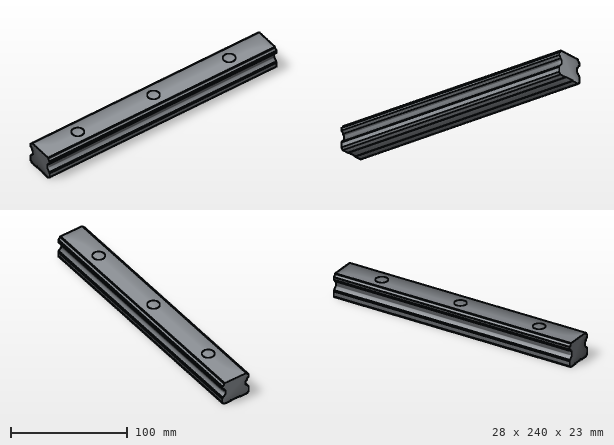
import cadquery as cq

length = 240.0
width = 28.0
height = 23.0
side = width / 2

top_half_width = 12.0
top_chamfer = 0.5
upper_race_radius = 2.5
head_top = 20.5
head_bottom = 17.8
head_chamfer = 0.2

lower_race_radius = 2.5
lower_race_end_x = 12.0
lower_race_end_z = 15.4
neck_half_width = 10.5
neck_top = 14.5
neck_bottom = 10.5
neck_fillet = 1.5

foot_top_chamfer = 0.6
foot_chamfer = 2.0

groove_width = 9.5
groove_depth = 0.5

cap_count = 3
cap_pitch = length / cap_count
cap_diameter = 11.0
cap_recess = 0.12


def right_half_profile():
    """Half of the rail section, from the centre line at the bottom round to the top."""
    foot_top = neck_bottom - (side - neck_half_width)
    return (
        cq.Workplane("XZ")
        .moveTo(0, 0)
        .lineTo(side - foot_chamfer, 0)
        .lineTo(side, foot_chamfer)
        .lineTo(side, foot_top - foot_top_chamfer)
        .lineTo(side - foot_top_chamfer, foot_top + foot_top_chamfer)
        .lineTo(neck_half_width, neck_bottom)
        .lineTo(neck_half_width, neck_top)
        .lineTo(lower_race_end_x, lower_race_end_z)
        .radiusArc((side, head_bottom), lower_race_radius)
        .lineTo(side, head_top - head_chamfer)
        .lineTo(side - head_chamfer, head_top)
        .radiusArc((top_half_width, height - top_chamfer), upper_race_radius)
        .lineTo(top_half_width - top_chamfer, height)
        .lineTo(0, height)
        .close()
    )


def rail_body():
    half = right_half_profile().extrude(length / 2, both=True)
    neck_corners = half.faces(cq.NearestToPointSelector((neck_half_width, 0, (neck_top + neck_bottom) / 2)))
    half = neck_corners.edges("|Y").fillet(neck_fillet)
    return half.union(half.mirror("YZ"))


def underside_groove():
    return cq.Workplane("XY").box(groove_width, length, groove_depth, centered=(True, True, False))


def cap_recesses():
    return (
        cq.Workplane("XY", origin=(0, 0, height - cap_recess))
        .rarray(2.5, cap_pitch, 1, cap_count)
        .circle(cap_diameter / 2)
        .extrude(cap_recess)
    )


result = rail_body().cut(underside_groove()).cut(cap_recesses())